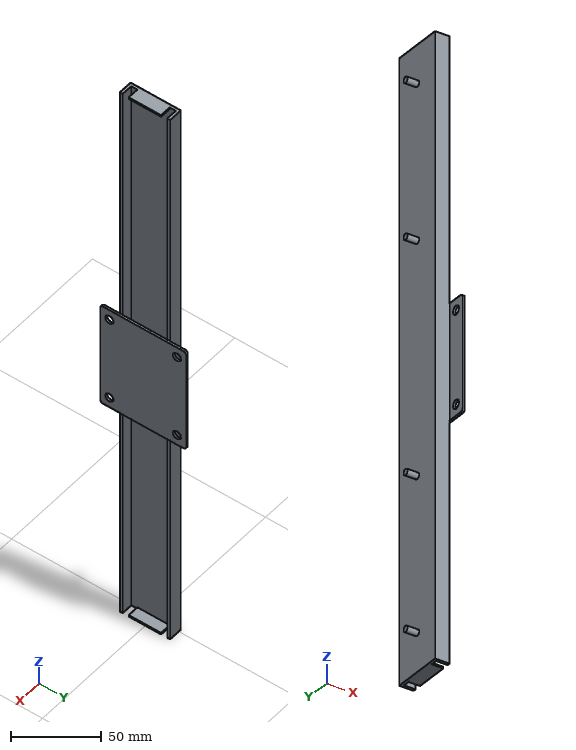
import cadquery as cq

rail_length = 406.0
rail_width = 35.5
rail_depth = 9.7
rail_wall = 2.0

tab_width = 22.7
tab_thickness = 1.2

stud_diameter = 4.0
stud_length = 7.7
inner_stud_spacing = 152.2
outer_stud_spacing = 355.2

plate_thickness = 1.5
plate_width = 60.5
plate_height = 76.0
plate_center_z = -7.7
plate_corner_radius = 2.0
plate_hole_diameter = 5.5
plate_hole_spacing_y = 47.5
plate_hole_spacing_z = 61.0


def block(x_start, size_x, size_y, size_z, center_z=0.0):
    """Box starting at x_start and growing toward +X, centred on the rail in Y and on center_z."""
    return cq.Workplane("XY").box(size_x, size_y, size_z, centered=(False, True, True)).translate(
        (x_start, 0, center_z)
    )


def make_rail():
    """U-shaped channel with a tab at each end."""
    channel_width = rail_width - 2 * rail_wall
    channel = block(rail_wall, rail_depth - rail_wall, channel_width, rail_length)
    rail = block(0, rail_depth, rail_width, rail_length).cut(channel)
    for end in (-1, 1):
        tab_z = end * (rail_length - tab_thickness) / 2
        rail = rail.union(block(0, rail_depth, tab_width, tab_thickness, center_z=tab_z))
    return rail


def make_plate():
    """Thin plate with rounded corners and a hole near each corner."""
    return (
        block(rail_depth, plate_thickness, plate_width, plate_height, center_z=plate_center_z)
        .edges("|X")
        .fillet(plate_corner_radius)
        .faces(">X")
        .workplane(centerOption="CenterOfBoundBox")
        .rarray(plate_hole_spacing_y, plate_hole_spacing_z, 2, 2)
        .hole(plate_hole_diameter)
    )


def make_stud(center_z):
    """Round stud standing on the rail web and pointing toward -X."""
    return (
        cq.Workplane("YZ", origin=(0, 0, center_z))
        .circle(stud_diameter / 2)
        .extrude(-stud_length)
    )


rail = make_rail()
plate = make_plate()
studs = [
    make_stud(side * spacing / 2)
    for spacing in (inner_stud_spacing, outer_stud_spacing)
    for side in (-1, 1)
]

result = cq.Compound.makeCompound([rail.val(), plate.val(), *[stud.val() for stud in studs]])